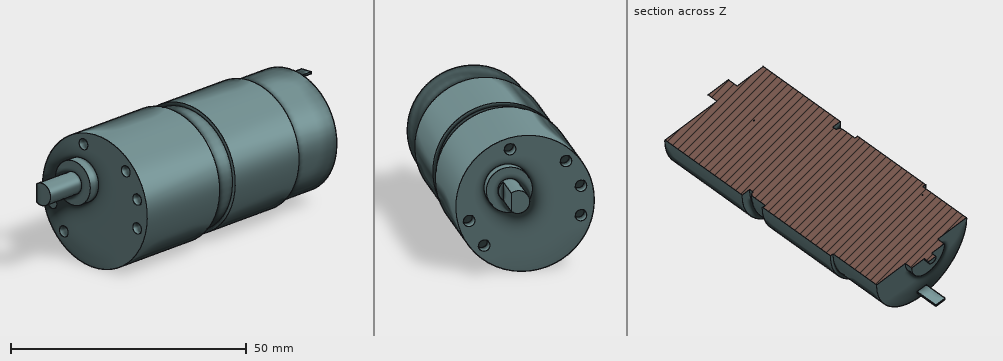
import cadquery as cq
import math


gearbox_diameter = 30.0
gearbox_length = 22.95

neck_diameter = 25.4
neck_length = 0.95

can_diameter = 27.4
can_length = 37.7
can_edge_radius = (can_diameter - neck_diameter) / 2
sleeve_diameter = 29.0
sleeve_length = 20.25
sleeve_setback = 4.55

bearing_diameter = 10.0
rear_bearing_length = 1.9
stub_diameter = 2.3
stub_length = 1.3

shaft_offset = 3.9
front_bearing_length = 2.6
shaft_diameter = 5.0
shaft_reach = 12.5
flat_depth = 1.0
flat_length = 9.0

hole_diameter = 2.5
hole_depth = 3.0
hole_circle_radius = 12.5
hole_angles = (-15, 15, 45, 105, 195, 225)

overall_length = 79.7
terminal_width = 2.8
terminal_thickness = 0.5
terminal_height = 11.6

can_front = gearbox_length + neck_length
can_rear = can_front + can_length
sleeve_front = can_front + sleeve_setback
bearing_rear = can_rear + rear_bearing_length
terminal_tip = overall_length - shaft_reach


def cylinder(diameter, start, length, x=0, z=0):
    """Cylinder parallel to Y, from Y = start to Y = start + length."""
    return cq.Workplane(cq.Solid.makeCylinder(
        diameter / 2, length, cq.Vector(x, start, z), cq.Vector(0, 1, 0)))


def motor_body():
    can = cylinder(can_diameter, can_front, can_length)
    can = can.faces("<Y").edges().fillet(can_edge_radius)
    return (
        cylinder(gearbox_diameter, 0, gearbox_length)
        .union(cylinder(neck_diameter, gearbox_length, neck_length))
        .union(can)
        .union(cylinder(sleeve_diameter, sleeve_front, sleeve_length))
        .union(cylinder(bearing_diameter, can_rear, rear_bearing_length))
        .union(cylinder(stub_diameter, bearing_rear, stub_length))
    )


def output_shaft():
    x, z = -shaft_offset, shaft_offset
    bearing = cylinder(bearing_diameter, -front_bearing_length, front_bearing_length, x, z)
    shaft = cylinder(shaft_diameter, -shaft_reach, shaft_reach, x, z)
    flat_cut = cq.Workplane("XY").box(
        flat_depth, flat_length, shaft_diameter, centered=(False, False, True)
    ).translate((x - shaft_diameter / 2, -shaft_reach, z))
    return bearing.union(shaft.cut(flat_cut))


def mounting_hole(angle):
    x = hole_circle_radius * math.cos(math.radians(angle))
    z = hole_circle_radius * math.sin(math.radians(angle))
    return cylinder(hole_diameter, 0, hole_depth, x, z)


def terminal(height):
    return cq.Workplane("XY").box(
        terminal_width, terminal_tip - can_rear, terminal_thickness, centered=(True, False, True)
    ).translate((0, can_rear, height))


result = motor_body().union(output_shaft())
for hole_angle in hole_angles:
    result = result.cut(mounting_hole(hole_angle))
for side in (-1, 1):
    result = result.union(terminal(side * terminal_height))